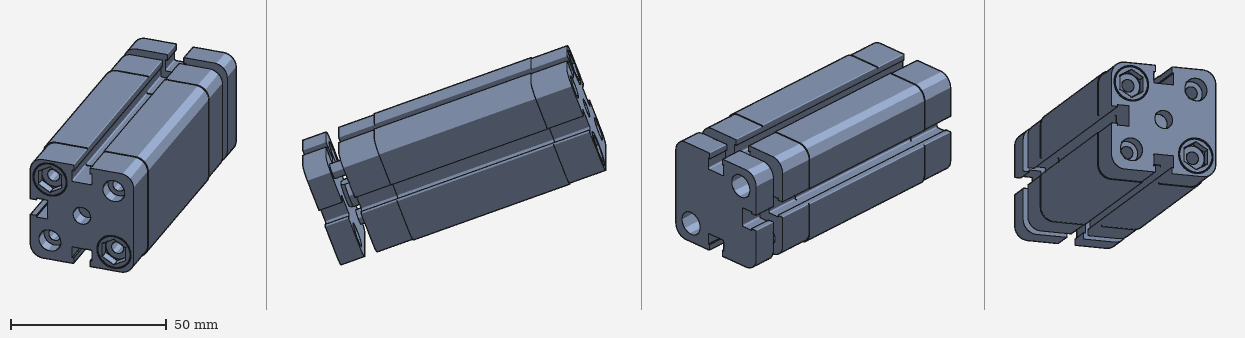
import cadquery as cq

total_length = 90.5
plate_thickness = 8.0
plate_gap = 4.3
cap_length = 12.3
body_length = total_length - plate_thickness - plate_gap
plate_start = total_length - plate_thickness

tube_width = 36.1
cap_width = 35.6
corner_radius = 4.5

slot_mouth = 5.6
slot_pocket = 6.8
slot_floor = 11.8
tube_slot_floor = 11.6
slot_lip = 15.7
mouth_radius = 0.25
floor_radius = 0.4
slot_angles = (0, 180, -90)

bolt_offset = 11.0
screw_corners = ((-bolt_offset, bolt_offset), (bolt_offset, -bolt_offset))
plain_corners = ((bolt_offset, bolt_offset), (-bolt_offset, -bolt_offset))
thread_core = 4.13
socket_recess = 11.7
screw_head = 11.1
head_clearance_depth = 0.5
socket_flats = 8.0
socket_depth = 3.1
socket_relief_depth = 3.3
mount_bore = 7.5
mount_bore_depth = 4.4
centre_bore = 6.0
centre_bore_depth = 5.0
plate_access_hole = 8.0

rod_diameter = 10.0
rod_tip_diameter = 8.5
rod_tip_length = 1.3
rod_flats = 8.0
flat_clearance = 1.0
pin_diameter = 5.0
pin_offset = 12.0
pin_corners = ((pin_offset, pin_offset), (-pin_offset, -pin_offset))


def plane_at(y):
    """XZ sketch plane at the given Y, facing -Y; a negative extrusion runs toward +Y."""
    return cq.Workplane(cq.Plane(origin=(0, y, 0), xDir=(1, 0, 0), normal=(0, -1, 0)))


def cylinders(points, diameter, y, length):
    return plane_at(y).pushPoints(points).circle(diameter / 2).extrude(-length)


def slot_cutter(surface, floor, y, length):
    """Undercut slot opening toward +Z through a face at the surface height, down to the floor."""
    mouth = slot_mouth / 2
    pocket = slot_pocket / 2
    return (
        plane_at(y)
        .moveTo(-mouth - mouth_radius, surface)
        .radiusArc((-mouth, surface - mouth_radius), mouth_radius)
        .lineTo(-mouth, slot_lip)
        .lineTo(-pocket, slot_lip)
        .lineTo(-pocket, floor + floor_radius)
        .radiusArc((-pocket + floor_radius, floor), -floor_radius)
        .lineTo(pocket - floor_radius, floor)
        .radiusArc((pocket, floor + floor_radius), -floor_radius)
        .lineTo(pocket, slot_lip)
        .lineTo(mouth, slot_lip)
        .lineTo(mouth, surface - mouth_radius)
        .radiusArc((mouth + mouth_radius, surface), mouth_radius)
        .close()
        .extrude(-length)
    )


def slotted_block(width, floor, y, length):
    """Rounded square block with a slot in its top, bottom and -X sides."""
    block = plane_at(y).rect(width, width).extrude(-length).edges("|Y").fillet(corner_radius)
    cutter = slot_cutter(width / 2, floor, y, length)
    for angle in slot_angles:
        block = block.cut(cutter.rotate((0, 0, 0), (0, 1, 0), angle))
    return block


def cut_screw_sockets(body):
    """Flush socket screw heads with a ring of clearance and a core hole through the body."""
    clearance = (
        plane_at(0)
        .pushPoints(screw_corners)
        .circle(socket_recess / 2)
        .circle(screw_head / 2)
        .extrude(-head_clearance_depth)
    )
    hexagon = plane_at(0).polygon(6, socket_flats, circumscribed=True).extrude(-socket_depth)
    body = body.cut(clearance).cut(cylinders(screw_corners, thread_core, 0, body_length))
    body = body.cut(cylinders(screw_corners, socket_flats, 0, socket_relief_depth))
    for x, z in screw_corners:
        body = body.cut(hexagon.translate((x, 0, z)))
    return body


def cut_mounting_holes(body):
    """Blind stepped holes at the free corners and a blind hole in the centre."""
    body = body.cut(cylinders(plain_corners, mount_bore, 0, mount_bore_depth))
    body = body.cut(cylinders(plain_corners, thread_core, 0, cap_length))
    return body.cut(cylinders([(0, 0)], centre_bore, 0, centre_bore_depth))


def piston_rod():
    """Rod with a tapered tip and two wrench flats that run out in 45 degree ramps."""
    rod_radius = rod_diameter / 2
    rod = (
        cq.Workplane("XY")
        .moveTo(0, body_length)
        .lineTo(rod_radius, body_length)
        .lineTo(rod_radius, plate_start - rod_tip_length)
        .lineTo(rod_tip_diameter / 2, plate_start)
        .lineTo(0, plate_start)
        .close()
        .revolve(360, (0, 0, 0), (0, 1, 0))
    )
    flat = rod_flats / 2
    ramp_start = body_length + flat_clearance
    ramp = rod_radius - flat
    cutter = (
        cq.Workplane("XY")
        .moveTo(flat, plate_start)
        .lineTo(flat, ramp_start)
        .lineTo(rod_radius, ramp_start - ramp)
        .lineTo(rod_radius, plate_start)
        .close()
        .extrude(rod_radius, both=True)
    )
    return rod.cut(cutter).cut(cutter.mirror("YZ"))


front_cap = slotted_block(cap_width, slot_floor, 0, cap_length)
tube = slotted_block(tube_width, tube_slot_floor, cap_length, body_length - 2 * cap_length)
rear_cap = slotted_block(cap_width, slot_floor, body_length - cap_length, cap_length)
body = front_cap.union(tube).union(rear_cap)
body = cut_mounting_holes(cut_screw_sockets(body))

plate = slotted_block(cap_width, slot_floor, plate_start, plate_thickness)
plate = plate.cut(cylinders(screw_corners, plate_access_hole, plate_start, plate_thickness))

guide_pins = cylinders(pin_corners, pin_diameter, body_length, plate_gap)

result = body.union(piston_rod()).union(guide_pins).union(plate)